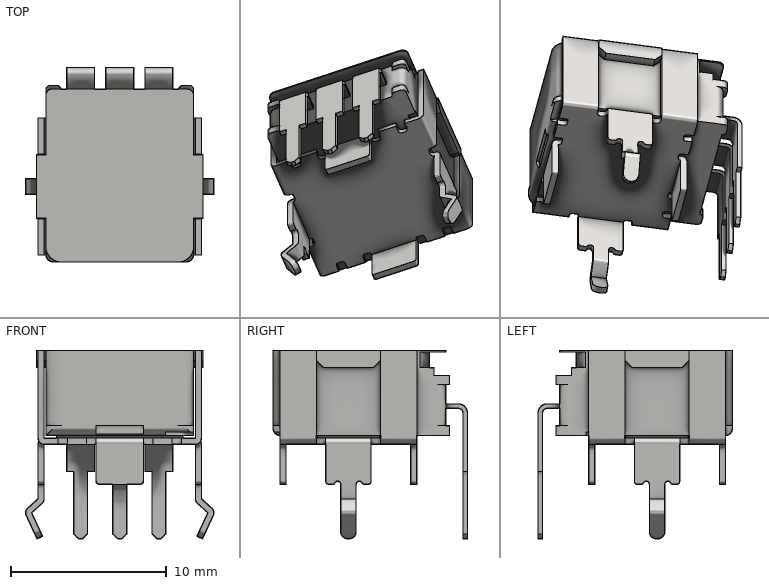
import cadquery as cq
import math


part_bottom = -6.08

sheet = 0.4
frame_half_x = 5.25
frame_half_y = 4.4
frame_top = 6.02
window_half = 2.06
relief_width = 0.6
relief_depth = 0.6
relief_radius = 0.2
lug_half_width = 1.52
tab_bottom = -2.58
tab_corner = 0.2
corner_relief_x = 3.35

leg_half_width = 1.46
prong_half_width = 0.5
leg_bend_z = -3.5
elbow_x = 5.65
elbow_z = -4.4
tip_angle = math.radians(25)
tip_radius = 0.49
neck_relief_radius = 0.2
relief_lip_radius = 0.12

body_half_x = 4.75
body_front = -4.85
body_bottom = 0.55
body_top = 4.92
body_rear = 6.25
body_corner = 1.0
foot_top = 1.2
foot_corner = 0.5
rear_top_y = 5.5
rear_corner = 0.5
rear_shoulder = 4.42
pedestal_half_x = 4.06
pedestal_half_y = 2.01
pedestal_corner = 0.5
lug_recess_depth = 0.2
slot_top = 0.8
slot_length = 1.82
slot_depth = 1.0
slot_corner = 0.9
rear_slot_y = 4.58
rear_slot_depth = 0.5

ear_rear = 6.5
ear_inner_x = 3.78
ear_corner = 0.3
upper_ear_bottom = 3.84
ear_levels = ((body_bottom, foot_top), (upper_ear_bottom, rear_shoulder))

lid_thickness = 0.1
lid_rear = body_rear
lid_rear_corner = 0.4
skirt_rear_y = 4.6
skirt_rear_bulge = 0.61
lid_tab_x = 5.35
lid_tab_clearance = 0.01
lid_tab_half_width = window_half - lid_tab_clearance
lid_tab_chamfer = 0.45

pin_pitch = 2.51
pin_thickness = 0.3
pin_rear = 7.65
pin_top = 2.6
pin_bend_radius = 0.6
pin_shoulder_z = -1.75
pin_half_width = 0.9
pin_blade_half = 0.45
pin_tip_half = 0.12
pin_tip_height = 0.32
pin_embed_y = 5.75


def box(x0, x1, y0, y1, z0, z1):
    """Box between two opposite corners."""
    return cq.Workplane("XY").box(x1 - x0, y1 - y0, z1 - z0, centered=False).translate((x0, y0, z0))


def both_sides(solid):
    """The solid together with its mirror image across X = 0."""
    return solid.union(solid.mirror("YZ"))


def mirrored(solid, sign_x, sign_y):
    """Move a solid to another quadrant according to the signs."""
    if sign_x < 0:
        solid = solid.mirror("YZ")
    if sign_y < 0:
        solid = solid.mirror("XZ")
    return solid


def make_channel():
    """Base plate with side walls, open windows and bend reliefs."""
    channel = box(-frame_half_x, frame_half_x, -frame_half_y, frame_half_y, 0, frame_top)
    channel = channel.edges("|Y and <Z").fillet(sheet)
    inner_half = frame_half_x - sheet
    channel = channel.cut(box(-inner_half, inner_half, -frame_half_y, frame_half_y, sheet, frame_top))

    window = box(inner_half, frame_half_x, -window_half, window_half, 0, frame_top)
    channel = channel.cut(both_sides(window))

    inner_y = frame_half_y - sheet
    lug_opening = box(-lug_half_width, lug_half_width, inner_y, frame_half_y, 0, sheet)
    channel = channel.cut(lug_opening).cut(lug_opening.mirror("XZ"))

    side_x = frame_half_x - relief_depth
    front_y = frame_half_y - relief_depth
    for sign_x in (-1, 1):
        for sign_y in (-1, 1):
            side = box(side_x, frame_half_x, leg_half_width, window_half, 0, sheet)
            side = side.edges("|Z and <X").fillet(relief_radius)
            channel = channel.cut(mirrored(side, sign_x, sign_y))
            for x0 in (lug_half_width, corner_relief_x):
                notch = box(x0, x0 + relief_width, front_y, frame_half_y, 0, sheet)
                notch = notch.edges("|Z and <Y").fillet(relief_radius)
                channel = channel.cut(mirrored(notch, sign_x, sign_y))
    return channel


def bend(x_inner, z_inner, angle_from, angle_to):
    """Start, middle and end of a sheet bend around its sharp inner corner."""
    angles = (angle_from, (angle_from + angle_to) / 2, angle_to)
    return [(x_inner + sheet * math.cos(a), z_inner + sheet * math.sin(a)) for a in angles]


def make_lug():
    """Front locating lug, bent down from the base plate."""
    inner_y = sheet - frame_half_y
    lug = box(-lug_half_width, lug_half_width, -frame_half_y, inner_y, tab_bottom, sheet)
    lug = lug.edges("|Y and <Z").fillet(tab_corner)
    elbow = box(-lug_half_width, lug_half_width, -frame_half_y, inner_y, 0, sheet)
    barrel = cq.Workplane("YZ").center(inner_y, 0).circle(sheet).extrude(lug_half_width, both=True)
    return lug.cut(elbow.cut(barrel))


def make_leg():
    """Snap-in spring leg on the +X side: wide root, then a kinked prong with a rounded tip."""
    inner_x = frame_half_x - sheet
    leg_reach_x = elbow_x + sheet
    dx = elbow_x - frame_half_x
    dz = elbow_z - leg_bend_z
    turn = math.asin(sheet / math.hypot(dx, dz))
    kink_normal = math.atan2(dz, dx) + turn + math.pi / 2

    top = bend(inner_x, 0, math.pi / 2, 0)
    elbow = bend(elbow_x, elbow_z, kink_normal, -tip_angle)
    knee = bend(frame_half_x, leg_bend_z, kink_normal + math.pi, math.pi)
    tip_length = (elbow_z - part_bottom - sheet * math.sin(tip_angle)) / math.cos(tip_angle)
    tip_inner = (elbow_x - tip_length * math.sin(tip_angle), elbow_z - tip_length * math.cos(tip_angle))
    tip_outer = bend(*tip_inner, -tip_angle, -tip_angle)[0]
    strip = (
        cq.Workplane("XZ")
        .moveTo(inner_x, sheet)
        .threePointArc(*top[1:])
        .lineTo(frame_half_x, leg_bend_z)
        .lineTo(*elbow[0])
        .threePointArc(*elbow[1:])
        .lineTo(*tip_outer)
        .lineTo(*tip_inner)
        .lineTo(elbow_x, elbow_z)
        .lineTo(*knee[0])
        .threePointArc(*knee[1:])
        .close()
        .extrude(leg_half_width, both=True)
    )

    relief_y = prong_half_width + neck_relief_radius
    reliefs = (
        cq.Workplane("YZ", origin=(0, 0, tab_bottom))
        .pushPoints([(-relief_y, 0), (relief_y, 0)])
        .circle(neck_relief_radius)
        .extrude(leg_reach_x)
    )
    root = box(0, leg_reach_x, -leg_half_width, leg_half_width, tab_bottom, sheet)
    root = root.edges("|X and <Z").fillet(tab_corner).cut(reliefs)
    lip_limit_y = leg_half_width - tab_corner - relief_lip_radius
    lips = root.edges("|X and <Z").filter(lambda edge: relief_y < abs(edge.Center().y) < lip_limit_y)
    root = lips.fillet(relief_lip_radius)
    prong = box(0, leg_reach_x, -prong_half_width, prong_half_width, part_bottom, 0)
    leg = strip.intersect(root.union(prong))
    tip_direction = cq.Vector(math.cos(tip_angle), 0, -math.sin(tip_angle))
    tip_edges = cq.selectors.ParallelDirSelector(tip_direction)
    return leg.edges(tip_edges).edges("<Z").fillet(tip_radius)


def make_body():
    """Moulded housing with its foot, ears, pedestal and underside slots."""
    upper = box(-body_half_x, body_half_x, body_front, rear_top_y, foot_top, body_top)
    upper = upper.edges("|Z and <Y").fillet(body_corner)
    rear = box(-body_half_x, body_half_x, 0, body_rear, body_bottom, rear_shoulder)
    rear = rear.edges("|Z and >Y").fillet(rear_corner)
    foot = box(-body_half_x, body_half_x, body_front, 0, body_bottom, foot_top)
    foot = foot.edges("|Z and <Y").fillet(foot_corner)
    rounded_block = box(-body_half_x, body_half_x, body_front, 0, body_bottom, body_top)
    rounded_block = rounded_block.edges("|X and <Y and <Z").fillet(foot_corner)
    body = upper.union(rear).union(foot.intersect(rounded_block))

    for bottom, top in ear_levels:
        ear = box(ear_inner_x, body_half_x, rear_top_y, ear_rear, bottom, top)
        ear = ear.edges("|Z and >Y").fillet(ear_corner)
        body = body.union(both_sides(ear))

    recess_rear = body_front + lug_recess_depth
    body = body.cut(box(-lug_half_width, lug_half_width, body_front, recess_rear, body_bottom, foot_top))
    slot_inner_x = body_half_x - slot_length
    slot_rear = body_front + slot_depth
    front_slot = box(slot_inner_x, body_half_x, body_front, slot_rear, body_bottom, slot_top)
    front_slot = front_slot.edges("|Z and <X and >Y").fillet(slot_corner)
    rear_slot_front = rear_slot_y - slot_length
    rear_slot_x = rear_slot_depth - body_half_x
    rear_slot = box(-body_half_x, rear_slot_x, rear_slot_front, rear_slot_y, body_bottom, slot_top)
    body = body.cut(front_slot).cut(rear_slot)

    pedestal = box(-pedestal_half_x, pedestal_half_x, -pedestal_half_y, pedestal_half_y, sheet, body_bottom)
    return body.union(pedestal.edges("|Z").fillet(pedestal_corner))


def make_lid():
    """Thin cover plate with a skirt over the body and a side tab in each frame window."""
    plate = box(-body_half_x, body_half_x, body_front, lid_rear, frame_top - lid_thickness, frame_top)
    plate = plate.edges("|Z and <Y").fillet(body_corner)
    plate = plate.edges("|Z and >Y").fillet(lid_rear_corner)
    skirt = (
        cq.Workplane("XY", origin=(0, 0, body_top))
        .moveTo(-body_half_x, skirt_rear_y)
        .threePointArc((0, skirt_rear_y + skirt_rear_bulge), (body_half_x, skirt_rear_y))
        .lineTo(body_half_x, body_front)
        .lineTo(-body_half_x, body_front)
        .close()
        .extrude(frame_top - body_top)
        .edges("|Z and <Y")
        .fillet(body_corner)
    )
    tabs = box(-lid_tab_x, lid_tab_x, -lid_tab_half_width, lid_tab_half_width, body_top, frame_top)
    tabs = tabs.edges("|X and <Z").chamfer(lid_tab_chamfer)
    return plate.union(skirt).union(tabs)


def make_pin(x):
    """Terminal pin: leaves the rear of the body, bends down and narrows to a pointed blade."""
    front_y = pin_rear - pin_thickness
    outer = box(-pin_half_width, pin_half_width, pin_embed_y, pin_rear, part_bottom, pin_top)
    outer = outer.edges("|X and >Y and >Z").fillet(pin_bend_radius)
    hollow = box(-pin_half_width, pin_half_width, pin_embed_y, front_y, part_bottom, pin_top - pin_thickness)
    hollow = hollow.edges("|X and >Y and >Z").fillet(pin_bend_radius - pin_thickness)
    half_outline = [
        (pin_half_width, pin_top),
        (pin_half_width, pin_shoulder_z),
        (pin_blade_half, pin_shoulder_z),
        (pin_blade_half, part_bottom + pin_tip_height),
        (pin_tip_half, part_bottom),
    ]
    outline = half_outline + [(-px, pz) for px, pz in reversed(half_outline)]
    silhouette = cq.Workplane("XZ").polyline(outline).close().extrude(-pin_rear)
    return outer.cut(hollow).intersect(silhouette).translate((x, 0, 0))


lug = make_lug()
result = make_channel().union(lug).union(lug.mirror("XZ")).union(both_sides(make_leg()))
result = result.union(make_body()).union(make_lid())
for x in (-pin_pitch, 0, pin_pitch):
    result = result.union(make_pin(x))